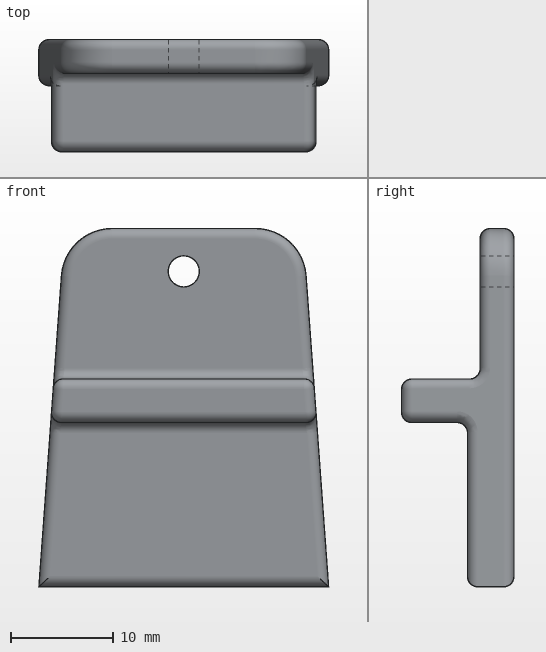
import cadquery as cq

height = 35.0
base_width = 28.3
depth = 11.0

top_width = 23.25
upper_thickness = 3.32
lower_thickness = 4.55
corner_radius = 5.0

shelf_bottom = 16.03
shelf_top = 20.3

edge_radius = 1.0

hole_diameter = 3.0
hole_height = 30.8


def side_profile():
    """Plate and shelf in section, with the back face at Y = 0, extruded along X."""
    return (
        cq.Workplane("YZ")
        .moveTo(0, 0)
        .lineTo(-lower_thickness, 0)
        .lineTo(-lower_thickness, shelf_bottom)
        .lineTo(-depth, shelf_bottom)
        .lineTo(-depth, shelf_top)
        .lineTo(-upper_thickness, shelf_top)
        .lineTo(-upper_thickness, height)
        .lineTo(0, height)
        .close()
        .extrude(base_width / 2, both=True)
    )


def tapered_outline():
    """Front outline with rounded top corners, extruded through the full depth."""
    return (
        cq.Workplane("XZ")
        .moveTo(-base_width / 2, 0)
        .lineTo(base_width / 2, 0)
        .lineTo(top_width / 2, height)
        .lineTo(-top_width / 2, height)
        .close()
        .extrude(depth)
        .edges("|Y and >Z")
        .fillet(corner_radius)
    )


def round_edges(body):
    """Round every edge except the bottom corners and the smooth seams of the top corners."""
    shelf_zone = cq.selectors.BoxSelector(
        (-base_width, -depth, shelf_bottom - edge_radius),
        (base_width, 0, shelf_top + edge_radius),
    )
    outline_edges = body.edges("not |Y").vals()
    shelf_end_edges = body.edges("|Y").edges(shelf_zone).vals()
    return body.newObject(outline_edges + shelf_end_edges).fillet(edge_radius)


def hanging_hole():
    """Round cutter running front to back near the top of the plate."""
    return (
        cq.Workplane("XZ")
        .center(0, hole_height)
        .circle(hole_diameter / 2)
        .extrude(depth)
    )


blank = side_profile().intersect(tapered_outline())
result = round_edges(blank).cut(hanging_hole())